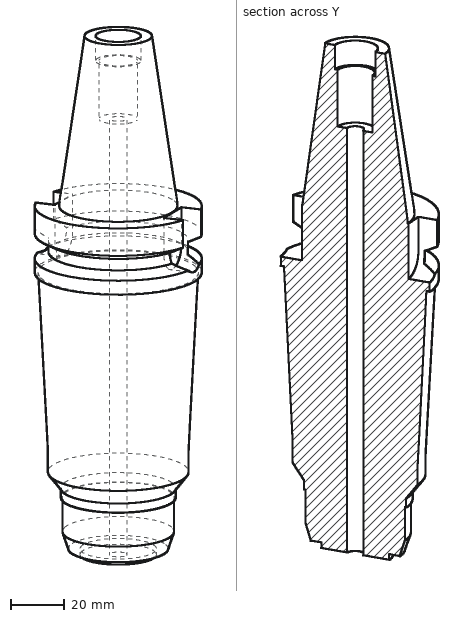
import cadquery as cq

overall_length = 202.5

taper_length = 65.4
gauge_radius = 22.3
taper_ratio = 7 / 24
taper_tip_radius = gauge_radius - taper_length * taper_ratio / 2

flange_radius = 31.47
flange_top = -1.0
flange_bottom = -27.0
groove_center = -16.5
groove_opening = 9.7
groove_floor_width = 4.5
groove_floor_radius = 26.3

slot_width = 16.4
slot_floor_distance = 22.5
slot_bottom = -23.0

bottom = taper_length - overall_length
body_top_radius = 30.2
body_bottom_radius = 26.5
body_taper_end = bottom + 40.7
body_end = bottom + 32.2
collar_radius = 21.7
collar_top = bottom + 26.0
collar_bottom = bottom + 22.3
nose_radius = 21.0
nose_chamfer_start = bottom + 9.0
nose_chamfer_end = bottom + 2.2
nose_chamfer_radius = 18.8
tip_radius = 14.4

counterbore_radius = 8.5
counterbore_depth = 9.7
stud_bore_radius = 7.3
stud_bore_depth = 32.4
coolant_hole_radius = 3.34


def make_holder():
    """Revolve the half outline, given as (radius, height), about Z."""
    outline = [
        (0, bottom),
        (tip_radius, bottom),
        (tip_radius, nose_chamfer_end),
        (nose_chamfer_radius, nose_chamfer_end),
        (nose_radius, nose_chamfer_start),
        (nose_radius, collar_bottom),
        (collar_radius, collar_bottom),
        (collar_radius, collar_top),
        (body_bottom_radius, body_end),
        (body_bottom_radius, body_taper_end),
        (body_top_radius, flange_bottom),
        (flange_radius, flange_bottom),
        (flange_radius, groove_center - groove_opening / 2),
        (groove_floor_radius, groove_center - groove_floor_width / 2),
        (groove_floor_radius, groove_center + groove_floor_width / 2),
        (flange_radius, groove_center + groove_opening / 2),
        (flange_radius, flange_top),
        (gauge_radius, flange_top),
        (gauge_radius, 0),
        (taper_tip_radius, taper_length),
        (0, taper_length),
    ]
    return cq.Workplane("XZ").polyline(outline).close().revolve(360, (0, 0), (0, 1))


def make_drive_slot(side):
    """Round-bottomed slot cutter on the +X (side = 1) or -X (side = -1) flank."""
    half_width = slot_width / 2
    arc_center = slot_bottom + half_width
    return (
        cq.Workplane("YZ", origin=(side * slot_floor_distance, 0, 0))
        .moveTo(-half_width, 0)
        .lineTo(-half_width, arc_center)
        .threePointArc((0, slot_bottom), (half_width, arc_center))
        .lineTo(half_width, 0)
        .close()
        .extrude(side * flange_radius)
    )


def make_bore(radius, depth):
    """Axial bore cutter going down from the small end of the taper."""
    return cq.Workplane("XY", origin=(0, 0, taper_length)).circle(radius).extrude(-depth)


result = make_holder()
for side in (-1, 1):
    result = result.cut(make_drive_slot(side))

bores = [
    (counterbore_radius, counterbore_depth),
    (stud_bore_radius, stud_bore_depth),
    (coolant_hole_radius, overall_length),
]
for radius, depth in bores:
    result = result.cut(make_bore(radius, depth))